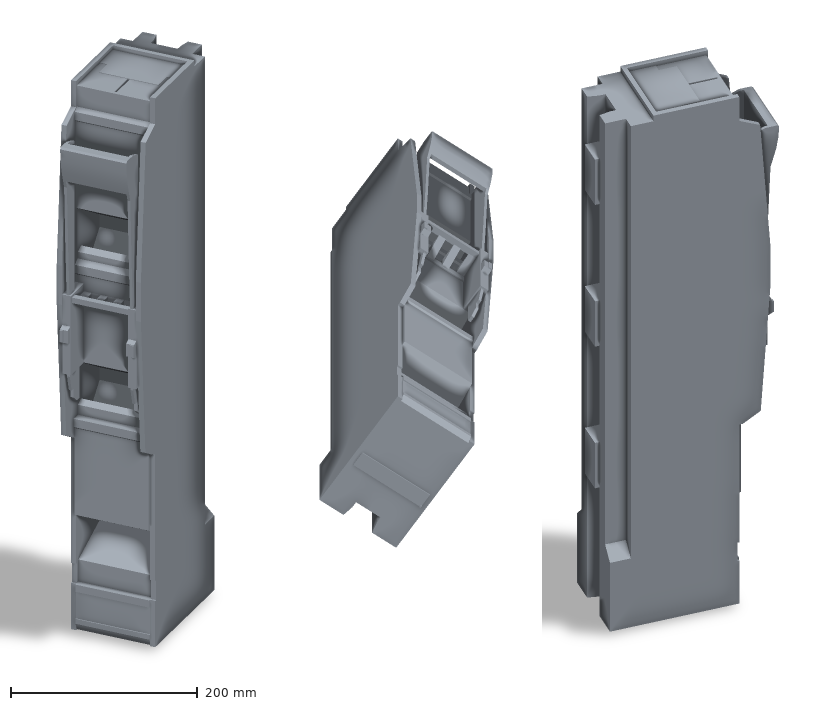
import cadquery as cq

WIDTH = 100.0
WALL = 6.0
HALF = WIDTH / 2
INNER_HALF = HALF - WALL
HEIGHT = 665.0
BOTTOM = 4.0
BASE_TOP = 657.5
BASE_DEPTH = 50.0
WALL_FRONT = 148.0

NOTCH_HALF = 35.0
NOTCH_DEPTH = 24.0
NOTCH_BOTTOM = 94.0
CHANNEL_HALF = 16.0
CHANNEL_MOUTH_HALF = 18.5
CHANNEL_DEPTH = 20.0
CHANNEL_TAPER_DEPTH = 12.5
PAD_BACK = -4.0
PAD_HALF = 15.0
PAD_HEIGHT = 59.0
PAD_PITCH = 185.0
TOP_PAD_BOTTOM = 539.0

PITCH = 184.0
PANEL_FRONT = 149.5
LOWER_PANEL_FRONT = 152.0
FRAME_STEP = 2.0
FRAME_HEIGHT = 10.0
CAP_FRONT = 146.0
CAP_TOP = 659.5
CAP_BOTTOM = 634.0
FRAME_TOP = 630.0
WINDOW_TOP = 513.5
WINDOW_BOTTOM = 477.5
WINDOW_BACK = 89.0
PIT_SLOPE_TOP = 462.0
PIT_BOTTOM = 412.0
LEDGE_BACK = 135.5
LEDGE_FRONT = 143.5
LEDGE = 461.5
LEDGE_SLOPE = 4.0

FOOT_FLOOR = 86.5
FOOT_BACK = 142.0
FOOT_TOP = 60.0
FOOT_FRONT = 150.0
FOOT_STEP = 1.0
FOOT_LABEL_TOP = 51.0
FOOT_LABEL_BOTTOM = 18.5
FOOT_CHAMFER_TOP = 12.5
FOOT_CHAMFER = 4.5

GUARD_TOP = 634.0
GUARD_BOTTOM = 237.5
GUARD_BOTTOM_FRONT = 152.0
GUARD_LOWER_CORNER = (173.0, 249.5)
GUARD_UPPER_CORNER = (172.0, 622.5)
GUARD_PEAK = 184.0
GUARD_PEAK_BOTTOM = 412.0
GUARD_PEAK_TOP = 459.5

ARM_OUTER = 39.0
ARM_INNER = 36.0
ARM_BACK = 169.0
BAR_BACK = 186.0
BAR_FRONT = 198.0
BAR_TIP = 191.0
BAR_BOTTOM = 566.0
BAR_TOP = 609.0
BRACKET_INNER = 34.0
BRACKET_FRONT = 183.0
BRACKET_BOTTOM = 329.0
BRACKET_TOP = 424.0
CROSS_BAR_BACK = 173.0
CROSS_BAR_BOTTOM = 415.0


def slab(points, x_from, x_to):
    """Prism along X from a list of (depth, height) points."""
    outline = [(-depth, z) for depth, z in points]
    return cq.Workplane("YZ", origin=(x_from, 0, 0)).polyline(outline).close().extrude(x_to - x_from)


def block(x_range, depth_range, z_range):
    """Axis-aligned box from (low, high) pairs."""
    x0, x1 = x_range
    d0, d1 = depth_range
    z0, z1 = z_range
    return cq.Workplane("XY").box(x1 - x0, d1 - d0, z1 - z0, centered=False).translate((x0, -d1, z0))


def both_sides(solid):
    """The solid together with its mirror image across the middle plane."""
    return solid.union(solid.mirror("YZ"))


def make_base():
    base = block((-HALF, HALF), (0, BASE_DEPTH), (BOTTOM, BASE_TOP))

    notch_width = HALF - NOTCH_HALF
    notch = (
        cq.Workplane("XZ")
        .polyline([
            (NOTCH_HALF, BASE_TOP),
            (NOTCH_HALF, NOTCH_BOTTOM + notch_width),
            (HALF, NOTCH_BOTTOM),
            (HALF, BASE_TOP),
        ])
        .close()
        .extrude(NOTCH_DEPTH)
    )
    base = base.cut(both_sides(notch))

    channel = (
        cq.Workplane("XY")
        .polyline([
            (-CHANNEL_MOUTH_HALF, 0),
            (-CHANNEL_HALF, -CHANNEL_TAPER_DEPTH),
            (-CHANNEL_HALF, -CHANNEL_DEPTH),
            (CHANNEL_HALF, -CHANNEL_DEPTH),
            (CHANNEL_HALF, -CHANNEL_TAPER_DEPTH),
            (CHANNEL_MOUTH_HALF, 0),
        ])
        .close()
        .extrude(HEIGHT)
    )
    base = base.cut(channel)

    for phase in range(3):
        z = TOP_PAD_BOTTOM - phase * PAD_PITCH
        base = base.union(block((-PAD_HALF, PAD_HALF), (PAD_BACK, CHANNEL_DEPTH), (z, z + PAD_HEIGHT)))
    return base


def make_walls():
    """Side walls with the guard plates that rise in front of the covers."""
    foot_setback = 2.0
    setback_top = 84.0
    outline = [
        (BASE_DEPTH, BOTTOM),
        (WALL_FRONT, BOTTOM),
        (WALL_FRONT, FOOT_TOP),
        (WALL_FRONT - foot_setback, FOOT_TOP),
        (WALL_FRONT - foot_setback, setback_top),
        (WALL_FRONT, setback_top),
        (WALL_FRONT, GUARD_BOTTOM),
        (GUARD_BOTTOM_FRONT, GUARD_BOTTOM),
        GUARD_LOWER_CORNER,
        (GUARD_PEAK, GUARD_PEAK_BOTTOM),
        (GUARD_PEAK, GUARD_PEAK_TOP),
        GUARD_UPPER_CORNER,
        (WALL_FRONT, GUARD_TOP),
        (WALL_FRONT, HEIGHT),
        (BASE_DEPTH, HEIGHT),
    ]
    return both_sides(slab(outline, INNER_HALF, HALF))


def panel_points(frame_top, panel_front):
    """Outline of a raised frame and the panel below it, down to the window."""
    frame_front = panel_front + FRAME_STEP
    frame_bottom = frame_top - FRAME_HEIGHT
    panel_bottom = frame_top - FRAME_TOP + WINDOW_TOP
    return [
        (frame_front, frame_top),
        (frame_front, frame_bottom),
        (panel_front, frame_bottom - FRAME_STEP),
        (panel_front, panel_bottom),
    ]


def window_points(drop, frame_slope):
    """Outline of a window, the pit behind its ledge and the ledge, up to the next frame."""
    ledge = LEDGE - drop
    return [
        (WINDOW_BACK, WINDOW_BOTTOM - drop),
        (WINDOW_BACK, PIT_SLOPE_TOP - drop),
        (LEDGE_BACK, PIT_BOTTOM - drop),
        (LEDGE_BACK, ledge),
        (LEDGE_FRONT, ledge - LEDGE_SLOPE),
        (LEDGE_FRONT, FRAME_TOP - PITCH - drop + frame_slope),
    ]


def make_core():
    """Covers between the walls, drawn as one outline from top to bottom."""
    outline = [
        (BASE_DEPTH, CAP_TOP),
        (CAP_FRONT, CAP_TOP),
        (CAP_FRONT, CAP_BOTTOM),
    ]
    outline += panel_points(FRAME_TOP, PANEL_FRONT)

    outline += window_points(0, CAP_BOTTOM - FRAME_TOP)
    outline += panel_points(FRAME_TOP - PITCH, PANEL_FRONT)
    outline += window_points(PITCH, 0)
    outline += panel_points(FRAME_TOP - 2 * PITCH, LOWER_PANEL_FRONT)

    outline += [
        (WINDOW_BACK, WINDOW_BOTTOM - 2 * PITCH),
        (FOOT_BACK, FOOT_FLOOR),
        (FOOT_BACK, FOOT_TOP),
        (FOOT_FRONT, FOOT_TOP),
        (FOOT_FRONT, FOOT_LABEL_TOP),
        (FOOT_FRONT - FOOT_STEP, FOOT_LABEL_TOP),
        (FOOT_FRONT - FOOT_STEP, FOOT_LABEL_BOTTOM),
        (FOOT_FRONT, FOOT_LABEL_BOTTOM),
        (FOOT_FRONT, FOOT_CHAMFER_TOP),
        (FOOT_FRONT - FOOT_CHAMFER, BOTTOM),
        (BASE_DEPTH, BOTTOM),
    ]
    return slab(outline, -INNER_HALF, INNER_HALF)


def make_top_cap(body):
    """Rear rim of the top pocket and the shallow lid steps on its floor."""
    rim_depth = 55.0
    lid_step = 0.5
    lid_edge = 88.5
    tongue_half = 35.0
    tongue_edge = 109.0
    slit_half = 1.0
    slit_depth = 2.5
    slit_end = 142.0
    rim = block((-INNER_HALF, INNER_HALF), (BASE_DEPTH, rim_depth), (CAP_TOP, HEIGHT))
    floor = CAP_TOP - lid_step
    lowered = block((-INNER_HALF, INNER_HALF), (lid_edge, CAP_FRONT), (floor, CAP_TOP))
    tongue = block((-tongue_half, tongue_half), (lid_edge, tongue_edge), (floor, CAP_TOP))
    slit = block((-slit_half, slit_half), (tongue_edge, slit_end), (floor - slit_depth, CAP_TOP))
    return body.union(rim).cut(lowered.cut(tongue)).cut(slit)


def make_arm():
    """Right handle arm, overlapping the bracket below it and the grip bar above."""
    overlap = 6.5
    arm_bottom = BRACKET_TOP - overlap
    bar_corner = 182.0
    outline = [
        (ARM_BACK, arm_bottom),
        (ARM_BACK, BAR_TOP - 4.5),
        (bar_corner, BAR_TOP),
        (BAR_BACK, BAR_TOP),
        (BAR_TIP, BAR_BOTTOM),
        (188.0, 557.0),
        (185.0, 479.0),
        (181.5, arm_bottom),
    ]
    return slab(outline, ARM_INNER, ARM_OUTER)


def make_arm_tail():
    """Hooked end of the right arm, hanging below the bracket."""
    tail_top = BRACKET_BOTTOM + 10.0
    tail_back = 156.0
    tail_bottom = 289.0
    hook_front = 171.5
    hook_top = 307.0
    outline = [
        (tail_back, tail_top),
        (181.0, tail_top),
        (181.0, 326.0),
        (176.0, hook_top),
        (hook_front, hook_top),
        (hook_front, 296.5),
        (163.0, tail_bottom),
        (tail_back, tail_bottom),
    ]
    return slab(outline, ARM_INNER, ARM_OUTER)


def make_tab():
    """Bevelled thumb tab on the right bracket, with a step along its outer edge."""
    root = 179.5
    front = 189.0
    bottom = 366.0
    top = 389.0
    bevel = 4.0
    inset = 0.5
    step_front = 190.0
    step_width = 4.0
    outline = [(root, bottom), (front, bottom + bevel), (front, top - bevel), (root, top)]
    tab = slab(outline, BRACKET_INNER + inset, INNER_HALF)
    step_height = (bottom + bevel + inset, top - bevel - inset)
    return tab.union(block((INNER_HALF - step_width, INNER_HALF), (root, step_front), step_height))


def make_handle():
    bracket = block(
        (BRACKET_INNER, INNER_HALF),
        (LEDGE_FRONT, BRACKET_FRONT),
        (BRACKET_BOTTOM, BRACKET_TOP),
    )
    side = make_arm().union(make_arm_tail()).union(bracket).union(make_tab())
    handle = both_sides(side)

    edge = 2.0
    curve_middle = (-196.0, 586.5)
    bar = (
        cq.Workplane("YZ", origin=(-ARM_OUTER, 0, 0))
        .moveTo(-BAR_BACK, BAR_BOTTOM)
        .lineTo(-BAR_BACK, BAR_TOP)
        .lineTo(-BAR_FRONT + edge, BAR_TOP)
        .lineTo(-BAR_FRONT, BAR_TOP - edge)
        .threePointArc(curve_middle, (-BAR_TIP, BAR_BOTTOM))
        .close()
        .extrude(2 * ARM_OUTER)
    )
    return handle.union(bar)


def gusset(bottom, x_from, x_to):
    """Triangular rib from the cover out to the cross bar, sloped on its underside."""
    tip = CROSS_BAR_BACK + 1.0
    outline = [(LEDGE_FRONT, bottom), (tip, CROSS_BAR_BOTTOM), (LEDGE_FRONT, CROSS_BAR_BOTTOM)]
    return slab(outline, x_from, x_to)


def make_cross_bar():
    """Bar joining the brackets, with four gussets reaching back to a pad on the cover."""
    bar_front = 180.0
    bar_top = 421.5
    pad_front = PANEL_FRONT + 2.0
    pad_bottom = 397.0
    pad_slope_bottom = 407.0
    bar = block(
        (-BRACKET_INNER, BRACKET_INNER),
        (CROSS_BAR_BACK, bar_front),
        (CROSS_BAR_BOTTOM, bar_top),
    )
    pad = slab(
        [
            (LEDGE_FRONT, pad_bottom),
            (pad_front, pad_bottom),
            (pad_front, pad_slope_bottom),
            (PANEL_FRONT, CROSS_BAR_BOTTOM),
            (LEDGE_FRONT, CROSS_BAR_BOTTOM),
        ],
        -BRACKET_INNER,
        BRACKET_INNER,
    )
    inner_gusset = gusset(pad_bottom, 5.0, 14.0)
    end_gusset = gusset(pad_slope_bottom, 24.5, BRACKET_INNER)
    return bar.union(pad).union(both_sides(inner_gusset.union(end_gusset)))


def make_bottom_strip():
    """Thin sill under the housing with a small corner peg."""
    sill_bottom = 2.0
    peg = 2.0
    back = 55.0
    front = 72.5
    sill = block((-INNER_HALF, INNER_HALF), (back, front), (sill_bottom, BOTTOM))
    corner_peg = block((INNER_HALF - peg, INNER_HALF), (back, back + peg), (0, BOTTOM))
    return sill.union(corner_peg)


body = make_base().union(make_walls()).union(make_core())
body = make_top_cap(body)
body = body.union(make_handle()).union(make_cross_bar()).union(make_bottom_strip())
result = body